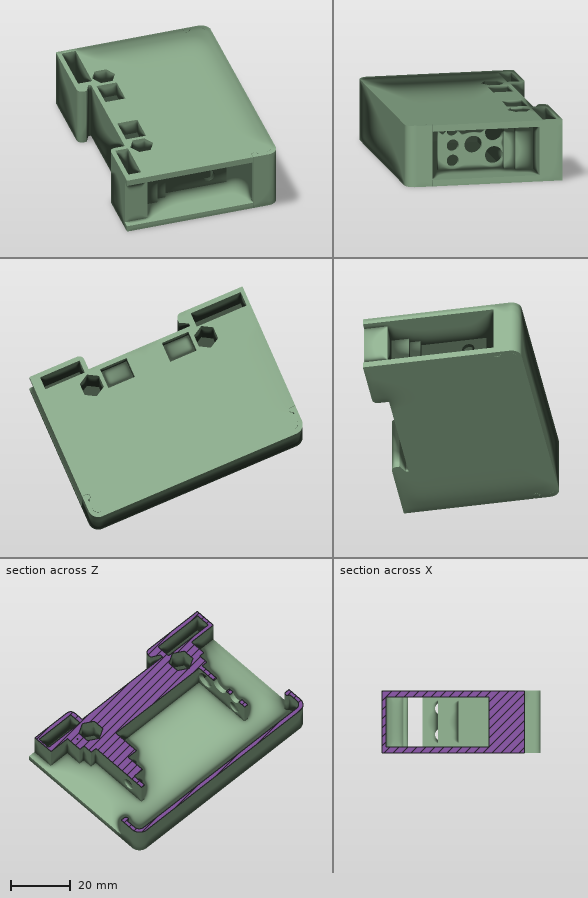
import cadquery as cq
import math

LENGTH = 78.0
HEIGHT = 53.5
WIDTH = 21.0
MID_X = LENGTH / 2
MID_Z = WIDTH / 2
CORNER_RADIUS = 3.4

PLATE = 2.2
COVER_SIDE = 1.4
COVER_THICKNESS = 1.6
COVER_TOP = HEIGHT - COVER_THICKNESS
COVER_INNER_RADIUS = 2.1
CAVITY_FLOOR = 17.5

CATCH_BOTTOM = 44.5
CATCH_TOP = 46.4
CATCH_REACH = 2.4
CATCH_RADIUS = 0.85
COVER_GAP = 0.1
NOTCH_WIDTH = 0.5
NOTCH_TOP = 47.3

RAIL_TOP = 5.45
RAIL_LEFT = 21.5
RAIL_RIGHT = 58.65
CLAW_TIP = 24.5
CLAW_SLOPE_TOP = 4.5
CLAW_SLOPE_BOTTOM = 3.0
FOOT_RADIUS = 1.9

WINDOW_BOTTOM = 7.95
LEDGE_HEIGHT = 14.0
LOWER_LEDGE_X = 10.15
UPPER_LEDGE_X = 12.1
TERMINAL_WALL_X = 14.3
TERMINAL_WALL_THICKNESS = 1.55
TERMINAL_WALL_TOP = 39.6

SCREW_DIAMETER = 4.1
SCREW_PITCH = 5.2
SCREW_ROW = 34.55
FAR_SCREW_ROW = 33.4
FAR_SCREW_OFFSET = 4.4
WIRE_DIAMETER = 6.0
UPPER_WIRE_ROW = 27.5
LOWER_WIRE_ROW = CAVITY_FLOOR + WIRE_DIAMETER / 2
LOWER_WIRE_OFFSET = 3.9

STAIR_DEPTH = 3.9

HEX_ACROSS_FLATS = 7.0
HEX_X = 18.1
HEX_Y = 11.0
LATCH_X = 27.7
LATCH_Y = 10.5
LATCH_LENGTH = 9.7
LATCH_HEIGHT = 7.0
LATCH_DEPTH = 5.3
FOOT_POCKET_BOTTOM = 1.55
LEFT_POCKET = (1.3, 19.6, 6.55)
RIGHT_POCKET = (60.3, 74.7, 6.0)


def block(x0, x1, y0, y1, z0=PLATE, z1=WIDTH - PLATE):
    """Box between two opposite corners; by default it spans the cavity width."""
    return cq.Workplane("XY").box(x1 - x0, y1 - y0, z1 - z0, centered=False).translate((x0, y0, z0))


def mirrored(shape):
    """The same shape at the opposite end of the housing."""
    return shape.mirror("YZ", (MID_X, 0, 0))


def outer_shell():
    """Full-width body with rounded upper corners and the rail recess."""
    arc_middle = FOOT_RADIUS * (1 - math.sqrt(0.5))
    profile = (
        cq.Workplane("XY")
        .moveTo(0, 0)
        .lineTo(CLAW_TIP - FOOT_RADIUS, 0)
        .threePointArc((CLAW_TIP - arc_middle, arc_middle), (CLAW_TIP, FOOT_RADIUS))
        .lineTo(CLAW_TIP, CLAW_SLOPE_BOTTOM)
        .lineTo(RAIL_LEFT, CLAW_SLOPE_TOP)
        .lineTo(RAIL_LEFT, RAIL_TOP)
        .lineTo(RAIL_RIGHT, RAIL_TOP)
        .lineTo(RAIL_RIGHT, FOOT_RADIUS)
        .threePointArc((RAIL_RIGHT + arc_middle, arc_middle), (RAIL_RIGHT + FOOT_RADIUS, 0))
        .lineTo(LENGTH, 0)
        .lineTo(LENGTH, HEIGHT)
        .lineTo(0, HEIGHT)
        .close()
    )
    return profile.extrude(WIDTH).edges("|Z and >Y").fillet(CORNER_RADIUS)


def catch(gap=0.0):
    """Rounded catch on the left end of the cover, enlarged by a gap if given."""
    reach = CATCH_REACH + gap
    shape = block(0, reach, CATCH_BOTTOM - gap, CATCH_TOP + gap, 0, WIDTH)
    return shape.edges("|Z and >X").fillet(CATCH_RADIUS + gap)


def cavity():
    """Space between the plates, open through a window at each end."""
    space = block(COVER_SIDE, LENGTH - COVER_SIDE, CAVITY_FLOOR, COVER_TOP)
    space = space.edges("|Z and >Y").fillet(COVER_INNER_RADIUS)
    recess = (
        block(0, COVER_SIDE, CAVITY_FLOOR, CATCH_BOTTOM)
        .union(block(0, UPPER_LEDGE_X, LEDGE_HEIGHT, CAVITY_FLOOR))
        .union(block(0, LOWER_LEDGE_X, WINDOW_BOTTOM, LEDGE_HEIGHT))
    )
    far_slot = block(LENGTH - CATCH_REACH - COVER_GAP, LENGTH, 0, WINDOW_BOTTOM)
    space = space.union(recess).union(mirrored(recess)).union(far_slot)
    return space.cut(catch()).cut(mirrored(catch()))


def cover_gaps():
    """Narrow gaps between the plates and the left end of the cover."""
    catch_gap = catch(COVER_GAP).cut(catch())
    catch_gap = catch_gap.cut(block(0, COVER_SIDE, CATCH_TOP, NOTCH_TOP, 0, WIDTH))
    notch = (
        cq.Workplane("XY")
        .polyline([
            (COVER_SIDE, NOTCH_TOP),
            (COVER_SIDE, CATCH_TOP),
            (COVER_SIDE + NOTCH_WIDTH, CATCH_TOP),
        ])
        .close()
        .extrude(WIDTH)
    )
    center_x = COVER_SIDE + COVER_INNER_RADIUS
    center_y = COVER_TOP - COVER_INNER_RADIUS
    ring = (
        cq.Workplane("XY")
        .center(center_x, center_y)
        .circle(COVER_INNER_RADIUS)
        .circle(COVER_INNER_RADIUS - COVER_GAP)
        .extrude(WIDTH)
    )
    corner_gap = ring.intersect(block(COVER_SIDE, center_x, center_y, COVER_TOP, 0, WIDTH))
    return catch_gap.union(notch).union(corner_gap)


def wall_holes(diameter, row, offsets):
    """Round holes through the left terminal wall, placed about the mid-width."""
    return (
        cq.Workplane("YZ", origin=(TERMINAL_WALL_X, 0, 0))
        .pushPoints([(row, MID_Z + offset) for offset in offsets])
        .circle(diameter / 2)
        .extrude(TERMINAL_WALL_THICKNESS)
    )


def terminal_walls():
    """Upright walls behind both windows, each with its openings, and the staircase."""
    inner_face = TERMINAL_WALL_X + TERMINAL_WALL_THICKNESS
    wall = block(TERMINAL_WALL_X, inner_face, CAVITY_FLOOR, TERMINAL_WALL_TOP)
    near = (
        wall.cut(wall_holes(SCREW_DIAMETER, SCREW_ROW, (-SCREW_PITCH, 0, SCREW_PITCH)))
        .cut(wall_holes(WIRE_DIAMETER, UPPER_WIRE_ROW, (0,)))
        .cut(wall_holes(WIRE_DIAMETER, LOWER_WIRE_ROW, (-LOWER_WIRE_OFFSET, LOWER_WIRE_OFFSET)))
    )
    far_holes = wall_holes(SCREW_DIAMETER, FAR_SCREW_ROW, (-FAR_SCREW_OFFSET, FAR_SCREW_OFFSET))
    far = mirrored(wall.cut(far_holes))
    stair_end = LENGTH - inner_face
    walls = near.union(far)
    for steps, top in ((1, SCREW_ROW), (2, UPPER_WIRE_ROW)):
        walls = walls.union(block(stair_end - steps * STAIR_DEPTH, stair_end, CAVITY_FLOOR, top))
    return walls


def hex_pocket():
    """Hexagonal nut pocket, corners pointing up and down, closed by the lower plate."""
    corner_diameter = HEX_ACROSS_FLATS / math.cos(math.pi / 6)
    pocket = cq.Workplane("XY").polygon(6, corner_diameter).extrude(WIDTH - PLATE)
    return pocket.rotate((0, 0, 0), (0, 0, 1), 90).translate((HEX_X, HEX_Y, PLATE))


def latch_pocket():
    """Shallow rectangular pocket beside the nut pocket."""
    x0 = LATCH_X - LATCH_LENGTH / 2
    y0 = LATCH_Y - LATCH_HEIGHT / 2
    return block(x0, x0 + LATCH_LENGTH, y0, y0 + LATCH_HEIGHT, WIDTH - LATCH_DEPTH, WIDTH)


result = outer_shell().cut(cavity()).union(terminal_walls())

for cutter in (cover_gaps(), hex_pocket(), latch_pocket()):
    result = result.cut(cutter).cut(mirrored(cutter))

for left, right, top in (LEFT_POCKET, RIGHT_POCKET):
    result = result.cut(block(left, right, FOOT_POCKET_BOTTOM, top, PLATE, WIDTH))